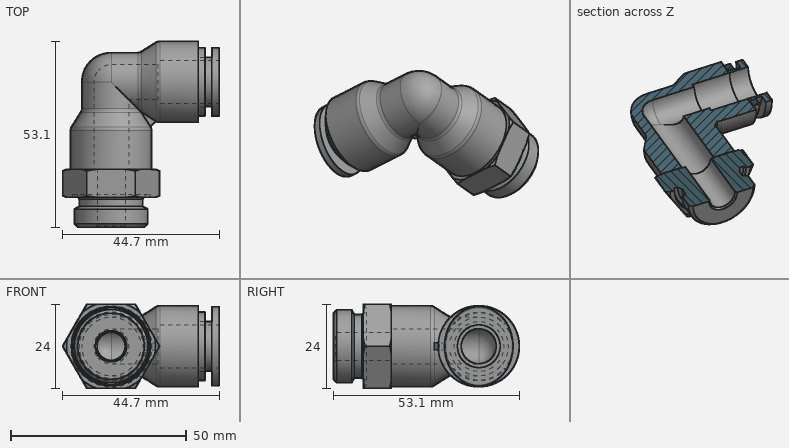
import cadquery as cq
import math


OVERALL_Y = 53.1

ELBOW_BORE_DIAMETER = 10.0
ELBOW_DIAMETER = 16.7
SOCKET_DIAMETER = 23.2
ARM_LENGTH = 24.95
CONE_START = 8.2
CONE_END = 13.3
CONE_BLEND = 2.0
WEB_REACH = 12.75
WEB_CORNER_CUT = 1.45
WEB_THICKNESS = 2.0
WEB_OVERLAP = 0.8
TUBE_DIAMETER = 12.2

HEX_ACROSS_FLATS = 24.0
HEX_LENGTH = 8.0
HEX_FACE_DIAMETER = 25.4
HEX_CHAMFER_LENGTH = 0.5
RECESS_DIAMETER = 22.6
RECESS_FLOOR_DIAMETER = 22.0
RECESS_DEPTH = 0.85
NECK_DIAMETER = 18.2
NECK_START = 33.45
NECK_FLARE_ANGLE = 30
NECK_END = 35.5
THREAD_DIAMETER = 21.0
THREAD_RUNOUT = 0.8
THREAD_CHAMFER = 1.0
FITTING_BORE_DIAMETER = 8.0
BORE_CHAMFER = 0.5

RING_DIAMETER = 19.6
RING_LENGTH = 1.95
RING_CHAMFER = 0.2
COLLET_DIAMETER = 14.2
COLLET_GAP = 1.85
FLANGE_HEIGHT = 22.6
FLANGE_WIDTH = 19.6
FLANGE_THICKNESS = 2.1
FLANGE_FILLET = 0.3

hex_start = ARM_LENGTH
hex_end = hex_start + HEX_LENGTH
thread_end = OVERALL_Y - SOCKET_DIAMETER / 2
ring_end = ARM_LENGTH + RING_LENGTH
flange_start = ring_end + COLLET_GAP


def revolved_about_x(points):
    """Solid turned about the X axis from (distance, radius) points."""
    return cq.Workplane("XY").polyline(points).close().revolve(360, (0, 0, 0), (1, 0, 0))


def along_threaded_arm(body):
    """Turn a body built along +X so that it lies along -Y."""
    return body.rotate((0, 0, 0), (0, 0, 1), -90)


def cylinder_along_x(diameter, start, end):
    return cq.Workplane("YZ", origin=(start, 0, 0)).circle(diameter / 2).extrude(end - start)


def make_arm():
    """One arm: a neck that flares through a blended cone to the socket diameter."""
    neck = ELBOW_DIAMETER / 2
    socket = SOCKET_DIAMETER / 2
    slope = math.atan2(socket - neck, CONE_END - CONE_START)
    tangent = CONE_BLEND * math.tan(slope / 2)
    along = tangent * math.cos(slope)
    across = tangent * math.sin(slope)
    profile = (
        cq.Workplane("XY")
        .lineTo(0, neck)
        .lineTo(CONE_START - tangent, neck)
        .tangentArcPoint((CONE_START + along, neck + across), relative=False)
        .lineTo(CONE_END - along, socket - across)
        .tangentArcPoint((CONE_END + tangent, socket), relative=False)
        .lineTo(ARM_LENGTH, socket)
        .lineTo(ARM_LENGTH, 0)
        .close()
    )
    return profile.revolve(360, (0, 0, 0), (1, 0, 0))


def make_bend(arm, diameter):
    """Two copies of an arm mitred at right angles, with a quarter ball round the outer corner."""
    mitre_outline = [(0, 0), (ARM_LENGTH, -ARM_LENGTH), (ARM_LENGTH, ARM_LENGTH), (0, ARM_LENGTH)]
    mitre = cq.Workplane("XY").polyline(mitre_outline).close().extrude(ARM_LENGTH, both=True)
    port_arm = arm.intersect(mitre)
    threaded_arm = port_arm.mirror(cq.Vector(1, 1, 0))
    radius = diameter / 2
    half_disc = cq.Workplane("YZ").moveTo(0, -radius).threePointArc((radius, 0), (0, radius)).close()
    corner = half_disc.revolve(90, (0, 0, 0), (0, 1, 0))
    return port_arm.union(threaded_arm).union(corner)


def make_web():
    """Flat web in the inner corner, with its outer corner cut off at 45 degrees."""
    inner = ELBOW_DIAMETER / 2 - WEB_OVERLAP
    cut = WEB_REACH - WEB_CORNER_CUT
    outline = [
        (inner, -inner),
        (WEB_REACH, -inner),
        (WEB_REACH, -cut),
        (cut, -WEB_REACH),
        (inner, -WEB_REACH),
    ]
    web = cq.Workplane("XY").polyline(outline).close()
    return web.extrude(WEB_THICKNESS / 2, both=True)


def make_housing():
    body = make_bend(make_arm(), ELBOW_DIAMETER).union(make_web())
    bore = cylinder_along_x(ELBOW_BORE_DIAMETER, 0, ARM_LENGTH)
    body = body.cut(make_bend(bore, ELBOW_BORE_DIAMETER))
    return body.cut(cylinder_along_x(TUBE_DIAMETER, CONE_END, ARM_LENGTH))


def make_hexagon():
    """Hexagon with its corners turned down at both end faces."""
    corner = HEX_ACROSS_FLATS / math.sqrt(3)
    face = HEX_FACE_DIAMETER / 2
    prism = cq.Workplane("YZ", origin=(hex_start, 0, 0)).polygon(6, 2 * corner).extrude(HEX_LENGTH)
    turned = revolved_about_x([
        (hex_start, 0),
        (hex_start, face),
        (hex_start + HEX_CHAMFER_LENGTH, corner),
        (hex_end - HEX_CHAMFER_LENGTH, corner),
        (hex_end, face),
        (hex_end, 0),
    ])
    return prism.intersect(turned)


def make_fitting():
    recess_floor = hex_end - RECESS_DEPTH
    recess = revolved_about_x([
        (recess_floor, 0),
        (recess_floor, RECESS_FLOOR_DIAMETER / 2),
        (hex_end, RECESS_DIAMETER / 2),
        (hex_end, 0),
    ])
    neck_flare = (NECK_START - recess_floor) * math.tan(math.radians(NECK_FLARE_ANGLE))
    stem = revolved_about_x([
        (recess_floor, 0),
        (recess_floor, NECK_DIAMETER / 2 + neck_flare),
        (NECK_START, NECK_DIAMETER / 2),
        (NECK_END, NECK_DIAMETER / 2),
        (NECK_END + THREAD_RUNOUT, THREAD_DIAMETER / 2),
        (thread_end - THREAD_CHAMFER, THREAD_DIAMETER / 2),
        (thread_end, THREAD_DIAMETER / 2 - THREAD_CHAMFER),
        (thread_end, 0),
    ])
    bore = revolved_about_x([
        (hex_start, 0),
        (hex_start, FITTING_BORE_DIAMETER / 2),
        (thread_end - BORE_CHAMFER, FITTING_BORE_DIAMETER / 2),
        (thread_end, FITTING_BORE_DIAMETER / 2 + BORE_CHAMFER),
        (thread_end, 0),
    ])
    return along_threaded_arm(make_hexagon().cut(recess).union(stem).cut(bore))


def make_ring():
    ring = cylinder_along_x(RING_DIAMETER, ARM_LENGTH, ring_end)
    ring = ring.faces(">X").edges().chamfer(RING_CHAMFER)
    return ring.cut(cylinder_along_x(COLLET_DIAMETER, ARM_LENGTH, ring_end))


def make_collet():
    """Release sleeve with an oval flange, taller in Z than it is wide in Y."""
    flange = cq.Workplane("YZ", origin=(flange_start, 0, 0))
    flange = flange.ellipse(FLANGE_WIDTH / 2, FLANGE_HEIGHT / 2).extrude(FLANGE_THICKNESS)
    flange = flange.faces(">X").edges().fillet(FLANGE_FILLET)
    sleeve = cylinder_along_x(COLLET_DIAMETER, ARM_LENGTH, flange_start)
    tube_hole = cylinder_along_x(TUBE_DIAMETER, ARM_LENGTH, flange_start + FLANGE_THICKNESS)
    return flange.union(sleeve).cut(tube_hole)


housing = make_housing()
fitting = make_fitting()
ring = make_ring()
collet = make_collet()

result = cq.Compound.makeCompound([housing.val(), fitting.val(), ring.val(), collet.val()])